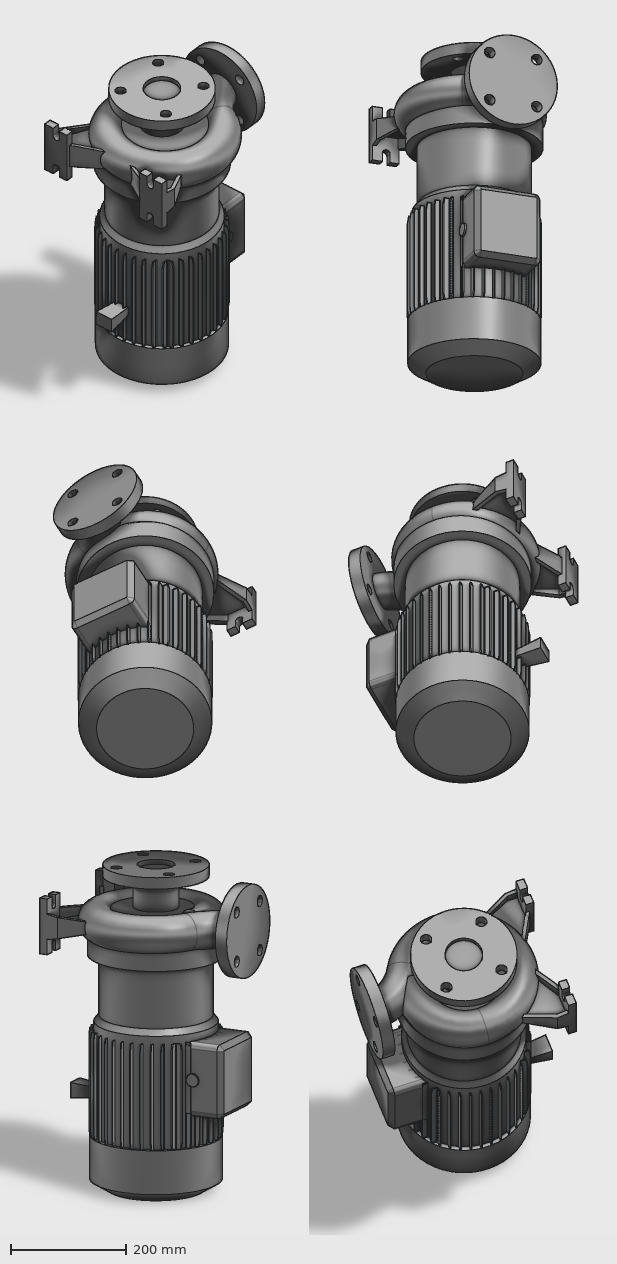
import cadquery as cq
import math


TOP_Z = 583.0
VOLUTE_Z = 484.0
HUB_TOP_Z = 507.0
CASING_TOP_Z = 466.5
CASING_BOTTOM_Z = 421.5
NECK_BOTTOM_Z = 313.0
SHOULDER_Z = 302.0
FIN_TOP_Z = 288.0
COWL_TOP_Z = 98.0
COWL_CONE_Z = 19.0

HUB_R = 93.0
CASING_R = 119.5
NECK_R = 99.5
MOTOR_R = 108.5
COWL_R = 116.0
COWL_END_R = 84.5

BOLT_HOLE_D = 19.0
SUCTION_FLANGE_R = 92.5
SUCTION_FLANGE_T = 20.5
SUCTION_BOLT_R = 72.5
SUCTION_PIPE_R = 40.0
SUCTION_BORE_R = 32.5
SUCTION_BORE_DEPTH = 9.0
DISCHARGE_Y = 180.0
DISCHARGE_FLANGE_R = 83.0
DISCHARGE_FLANGE_T = 22.0
DISCHARGE_BOLT_R = 62.5

TUBE_R = 33.0
VOLUTE_OUTER_X = 140.0
VOLUTE_SHIFT = 7.0
SPINE_R = VOLUTE_OUTER_X - VOLUTE_SHIFT - TUBE_R
TONGUE_SPINE_R = 88.0
TONGUE_SWEEP = 110.0

FIN_COUNT = 40
FIN_R = 117.0
FIN_T = 2.0
FIN_ROOT_OVERLAP = 3.0
FIN_END_DROP = 2.0
FIN_END_LENGTH = 11.5

BOX_WIDTH = 123.5
BOX_FACE_Y = 160.0
BOX_BOTTOM_Z = 155.0
BOX_CORNER_R = 10.5
BOX_FACE_BEVEL = 9.5
GLAND_R = 11.5
GLAND_LENGTH = 3.5
GLAND_Y = 104.0

LUG_Z = 162.0
LUG_FACE_Y = -158.0
LUG_FACE_WIDTH = 35.0
LUG_FACE_HEIGHT = 28.0
LUG_ROOT_Y = -MOTOR_R
LUG_ROOT_WIDTH = 28.0
LUG_ROOT_HEIGHT = 17.5

FOOT_FACE_Y = -160.0
FOOT_OUTER_X = 132.5
FOOT_WIDTH = 50.0
FOOT_HEIGHT = 100.0
FOOT_T = 14.5
SLOT_X = 106.0
SLOT_WIDTH = 14.0
SLOT_DEPTH = 23.0
ARM_WALL = 7.0
ARM_WEB_T = 7.0
ARM_HALF_HEIGHT = 23.0
ARM_TIP_HALF_HEIGHT = 9.5
ARM_TIP_Y = -69.5
ARM_BEND_Y = -125.0
ARM_OUTER_END = (98.5, -55.5)
ARM_INNER_END = (16.5, -116.5)


def turned_body():
    """Casing, neck, motor core and fan cowl as one turned profile."""
    profile = [
        (0, 0),
        (COWL_END_R, 0),
        (COWL_R, COWL_CONE_Z),
        (COWL_R, COWL_TOP_Z),
        (MOTOR_R, COWL_TOP_Z),
        (MOTOR_R, SHOULDER_Z),
        (NECK_R, NECK_BOTTOM_Z),
        (NECK_R, CASING_BOTTOM_Z),
        (CASING_R, CASING_BOTTOM_Z),
        (CASING_R, CASING_TOP_Z),
        (HUB_R, CASING_TOP_Z),
        (HUB_R, HUB_TOP_Z),
        (0, HUB_TOP_Z),
    ]
    return cq.Workplane("XZ").polyline(profile).close().revolve(360, (0, 0, 0), (0, 1, 0))


def flange(radius, thickness, bolt_circle_r):
    """Round flange from Z = 0 downwards with four bolt holes on the diagonals."""
    return (
        cq.Workplane("XY")
        .circle(radius)
        .polarArray(bolt_circle_r, 45, 360, 4)
        .circle(BOLT_HOLE_D / 2)
        .extrude(-thickness)
    )


def tube_bend(center_x, center_y, spine_r, start, sweep):
    """Round tube along an arc in the volute plane, from a start angle through a sweep in degrees."""
    bend = (
        cq.Workplane("XZ")
        .center(spine_r, 0)
        .circle(TUBE_R)
        .revolve(sweep, (-spine_r, 0, 0), (-spine_r, 1, 0))
    )
    return bend.rotate((0, 0, 0), (0, 0, 1), start).translate((center_x, center_y, VOLUTE_Z))


def volute():
    """Spiral tube around the hub, swinging back to leave through the discharge flange."""
    spiral_reach = VOLUTE_SHIFT + SPINE_R
    center_distance = (spiral_reach**2 + DISCHARGE_Y**2) / (2 * spiral_reach)
    return_r = center_distance - SPINE_R
    exit_angle = math.degrees(math.asin(DISCHARGE_Y / center_distance))
    spiral = tube_bend(VOLUTE_SHIFT, 0, SPINE_R, 180, 180 + exit_angle)
    outlet = tube_bend(return_r, DISCHARGE_Y, return_r, 180, exit_angle)

    tongue_x = VOLUTE_SHIFT - SPINE_R + TONGUE_SPINE_R
    tongue = tube_bend(tongue_x, 0, TONGUE_SPINE_R, 180 - TONGUE_SWEEP, TONGUE_SWEEP)
    return spiral.union(outlet).union(tongue)


def suction_nozzle():
    """Suction flange and the pipe that joins it to the hub."""
    pipe = (
        cq.Workplane("XY", origin=(0, 0, HUB_TOP_Z - 6))
        .circle(SUCTION_PIPE_R)
        .extrude(TOP_Z - SUCTION_FLANGE_T / 2 - HUB_TOP_Z)
    )
    plate = flange(SUCTION_FLANGE_R, SUCTION_FLANGE_T, SUCTION_BOLT_R).translate((0, 0, TOP_Z))
    bore = cq.Workplane("XY", origin=(0, 0, TOP_Z)).circle(SUCTION_BORE_R).extrude(-SUCTION_BORE_DEPTH)
    return pipe.union(plate).cut(bore)


def discharge_flange():
    """Flange facing +Y at the end of the volute tube."""
    plate = flange(DISCHARGE_FLANGE_R, DISCHARGE_FLANGE_T, DISCHARGE_BOLT_R)
    return plate.rotate((0, 0, 0), (1, 0, 0), -90).translate((0, DISCHARGE_Y, VOLUTE_Z))


def fins():
    """Flat fins on four sides of the motor, square to the side they stand on."""
    end_r = FIN_R - FIN_END_DROP
    outline = [
        (0, COWL_TOP_Z),
        (end_r, COWL_TOP_Z),
        (FIN_R, COWL_TOP_Z + FIN_END_LENGTH),
        (FIN_R, FIN_TOP_Z - FIN_END_LENGTH),
        (end_r, FIN_TOP_Z),
        (0, FIN_TOP_Z),
    ]
    envelope = cq.Workplane("XZ").polyline(outline).close().revolve(360, (0, 0, 0), (0, 1, 0))

    pitch = 360 / FIN_COUNT
    solids = []
    for side in range(4):
        for index in range(FIN_COUNT // 4):
            tip_angle = math.radians((index + 0.5) * pitch - 45)
            offset = FIN_R * math.sin(tip_angle)
            root_x = math.sqrt(MOTOR_R**2 - offset**2) - FIN_ROOT_OVERLAP
            slab = cq.Workplane("XY").box(FIN_R, FIN_T, TOP_Z, centered=(False, True, False))
            fin = slab.translate((root_x, offset, 0)).intersect(envelope)
            solids.append(fin.rotate((0, 0, 0), (0, 0, 1), 90 * side).val())
    return solids


def terminal_box():
    """Box on the +Y side with rounded corners, a bevelled face and a cable gland on +X."""
    height = FIN_TOP_Z - BOX_BOTTOM_Z
    middle_z = BOX_BOTTOM_Z + height / 2
    box = (
        cq.Workplane("XZ", origin=(0, 0, middle_z))
        .rect(BOX_WIDTH, height)
        .extrude(-BOX_FACE_Y)
        .edges("|Y")
        .fillet(BOX_CORNER_R)
        .faces(">Y")
        .chamfer(BOX_FACE_BEVEL)
    )
    gland = (
        cq.Workplane("YZ", origin=(0, GLAND_Y, middle_z))
        .circle(GLAND_R)
        .extrude(BOX_WIDTH / 2 + GLAND_LENGTH)
    )
    return box.union(gland)


def lug():
    """Block on the -Y side that widens away from the motor."""
    return (
        cq.Workplane("XZ", origin=(0, LUG_FACE_Y, LUG_Z))
        .rect(LUG_FACE_WIDTH, LUG_FACE_HEIGHT)
        .workplane(offset=LUG_FACE_Y - LUG_ROOT_Y)
        .rect(LUG_ROOT_WIDTH, LUG_ROOT_HEIGHT)
        .loft()
    )


def foot():
    """Slotted pad on the +X side with a channelled arm running back into the volute."""
    pad_back_y = FOOT_FACE_Y + FOOT_T
    inner_x = FOOT_OUTER_X - FOOT_WIDTH
    pad = cq.Workplane("XY").box(FOOT_WIDTH, FOOT_T, FOOT_HEIGHT, centered=(False, False, True))
    pad = pad.translate((inner_x, FOOT_FACE_Y, 0))
    slot_length = 2 * SLOT_DEPTH
    slots = (
        cq.Workplane("XZ", origin=(SLOT_X, FOOT_FACE_Y, 0))
        .pushPoints([(0, FOOT_HEIGHT / 2), (0, -FOOT_HEIGHT / 2)])
        .slot2D(slot_length, SLOT_WIDTH, 90)
        .extrude(-FOOT_T)
    )

    root_y = pad_back_y - ARM_WALL
    plan = [
        (inner_x, root_y),
        (FOOT_OUTER_X, root_y),
        (FOOT_OUTER_X, ARM_BEND_Y),
        ARM_OUTER_END,
        ARM_INNER_END,
    ]
    side = [
        (root_y, ARM_HALF_HEIGHT),
        (pad_back_y, ARM_HALF_HEIGHT),
        (ARM_TIP_Y, ARM_TIP_HALF_HEIGHT),
        (0, ARM_TIP_HALF_HEIGHT),
    ]
    mirrored_side = [(y, -z) for y, z in reversed(side)]
    taper = cq.Workplane("YZ").polyline(side + mirrored_side).close().extrude(FOOT_OUTER_X)
    arm = cq.Workplane("XY").polyline(plan).close().extrude(ARM_HALF_HEIGHT, both=True).intersect(taper)
    channel = cq.Workplane("XY").polyline(plan).close().offset2D(-ARM_WALL)
    channel = channel.extrude(ARM_HALF_HEIGHT, both=True)
    web = cq.Workplane("XY").box(4 * FOOT_OUTER_X, -4 * FOOT_FACE_Y, ARM_WEB_T)
    return arm.cut(channel.cut(web)).union(pad).cut(slots).translate((0, 0, VOLUTE_Z))


right_foot = foot()
result = turned_body()
for feature in (
    volute(),
    suction_nozzle(),
    discharge_flange(),
    terminal_box(),
    lug(),
    right_foot,
    right_foot.mirror("YZ"),
):
    result = result.union(feature)
result = cq.Workplane(result.val().fuse(*fins()))